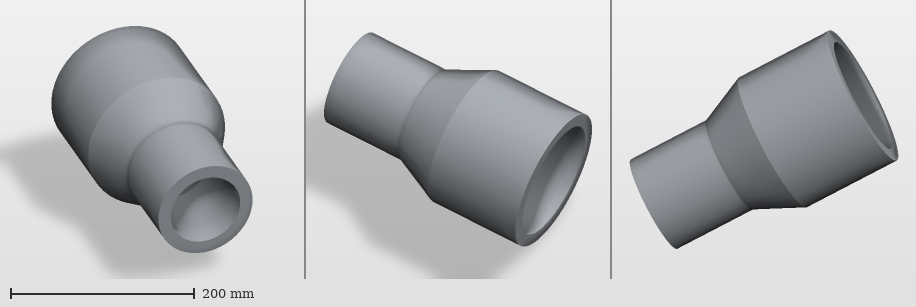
import cadquery as cq

length = 260.0
large_diameter = 160.0
small_diameter = 110.0
wall = 14.5
large_end_length = 111.8
taper_length = 53.8

x_start = -length / 2
x_taper_start = x_start + large_end_length
x_taper_end = x_taper_start + taper_length
x_end = length / 2


def stepped_cone(large_radius, small_radius):
    """Solid of revolution about X: large cylinder, cone, small cylinder."""
    return (
        cq.Workplane("XY")
        .moveTo(x_start, 0)
        .lineTo(x_start, large_radius)
        .lineTo(x_taper_start, large_radius)
        .lineTo(x_taper_end, small_radius)
        .lineTo(x_end, small_radius)
        .lineTo(x_end, 0)
        .close()
        .revolve(360, (0, 0, 0), (1, 0, 0))
    )


outer_body = stepped_cone(large_diameter / 2, small_diameter / 2)
bore = stepped_cone(large_diameter / 2 - wall, small_diameter / 2 - wall)

result = outer_body.cut(bore)